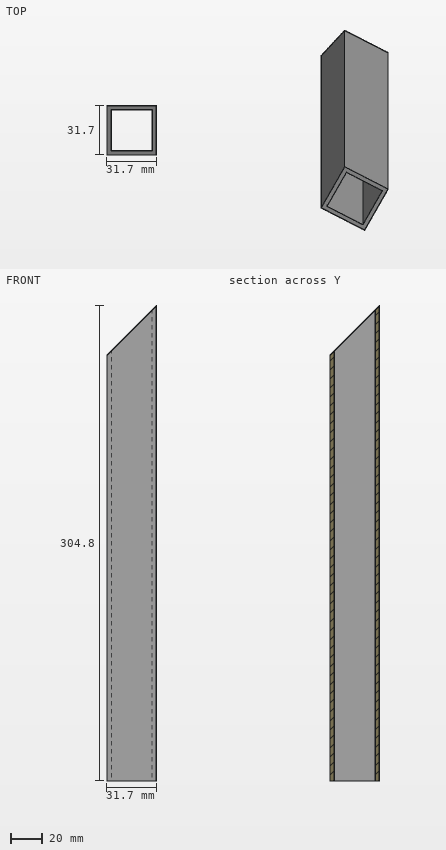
import cadquery as cq

length = 304.8
side = 31.7
wall = 2.77
miter_rise = side
short_length = length - miter_rise
bore = side - 2 * wall

bar_outline = [
    (-side / 2, 0),
    (side / 2, 0),
    (side / 2, length),
    (-side / 2, short_length),
]
bar = cq.Workplane("XZ").polyline(bar_outline).close().extrude(side / 2, both=True)

bore_cutter = cq.Workplane("XY").rect(bore, bore).extrude(length)

result = bar.cut(bore_cutter)